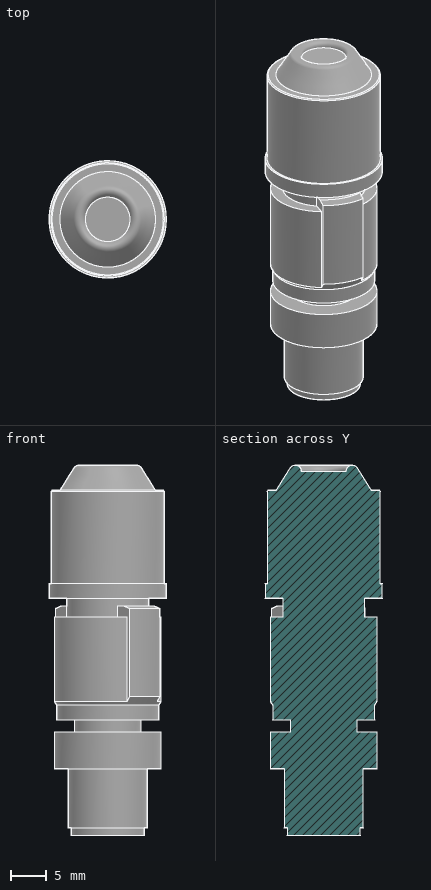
import cadquery as cq
import math

STEM_BOTTOM = 1.1
FLANGE_BOTTOM = 9.25
FLANGE_TOP = 14.4
RING_BOTTOM = 16.05
RING_TOP = 18.1
PANEL_TOP = 30.4
LOBE_OUTER_TOP = 31.55
LOBE_TOP = 31.9
COLLAR_BOTTOM = 32.95
COLLAR_TOP = 35.0
SLEEVE_TOP = 48.0
TOTAL_HEIGHT = 51.5

FOOT_RADIUS = 5.1
STEM_RADIUS = 5.5
FLANGE_RADIUS = 7.4
LOWER_NECK_RADIUS = 4.65
RING_RADIUS = 7.1
PANEL_RADIUS = 7.4
LOBE_RADIUS = 7.9
LOBE_BEVEL_INNER_RADIUS = 6.8
UPPER_NECK_RADIUS = 5.7
COLLAR_RADIUS = 8.16
SLEEVE_RADIUS = 7.9
NOSE_BASE_RADIUS = 6.65

SLEEVE_CHAMFER = 0.15
LOWER_TAPER_SLOPE = 1.6
PANEL_WALL_OFFSET = 3.0
RECESS_DIRECTIONS = (45, 225)

LIP_RADIUS = 0.9
LIP_CENTRE_RADIUS = 3.95
LIP_CENTRE_HEIGHT = TOTAL_HEIGHT - LIP_RADIUS


def nose_tangent_angle():
    """Angle on the lip circle where the straight nose flank meets it tangentially."""
    dr = NOSE_BASE_RADIUS - LIP_CENTRE_RADIUS
    dz = SLEEVE_TOP - LIP_CENTRE_HEIGHT
    return math.atan2(dz, dr) + math.acos(LIP_RADIUS / math.hypot(dr, dz))


def lip_point(angle):
    return (
        LIP_CENTRE_RADIUS + LIP_RADIUS * math.cos(angle),
        LIP_CENTRE_HEIGHT + LIP_RADIUS * math.sin(angle),
    )


def turned_body():
    """Revolve the complete stepped profile, with the lobe section still a full round."""
    lobe_bottom = RING_TOP + LOWER_TAPER_SLOPE * (LOBE_RADIUS - RING_RADIUS)
    profile = (
        cq.Workplane("XZ")
        .polyline([
            (0, 0),
            (FOOT_RADIUS, 0),
            (FOOT_RADIUS, STEM_BOTTOM),
            (STEM_RADIUS, STEM_BOTTOM),
            (STEM_RADIUS, FLANGE_BOTTOM),
            (FLANGE_RADIUS, FLANGE_BOTTOM),
            (FLANGE_RADIUS, FLANGE_TOP),
            (LOWER_NECK_RADIUS, FLANGE_TOP),
            (LOWER_NECK_RADIUS, RING_BOTTOM),
            (RING_RADIUS, RING_BOTTOM),
            (RING_RADIUS, RING_TOP),
            (LOBE_RADIUS, lobe_bottom),
            (LOBE_RADIUS, LOBE_OUTER_TOP),
            (LOBE_BEVEL_INNER_RADIUS, LOBE_TOP),
            (UPPER_NECK_RADIUS, LOBE_TOP),
            (UPPER_NECK_RADIUS, COLLAR_BOTTOM),
            (COLLAR_RADIUS, COLLAR_BOTTOM),
            (COLLAR_RADIUS, COLLAR_TOP),
            (SLEEVE_RADIUS, COLLAR_TOP),
            (SLEEVE_RADIUS, SLEEVE_TOP - SLEEVE_CHAMFER),
            (SLEEVE_RADIUS - SLEEVE_CHAMFER, SLEEVE_TOP),
            (NOSE_BASE_RADIUS, SLEEVE_TOP),
            lip_point(nose_tangent_angle()),
        ])
        .threePointArc(lip_point(math.pi / 2), lip_point(math.pi))
        .lineTo(0, LIP_CENTRE_HEIGHT)
        .close()
    )
    return profile.revolve(360, (0, 0, 0), (0, 1, 0))


def tube(inner_radius, outer_radius, bottom, top):
    return (
        cq.Workplane("XY", origin=(0, 0, bottom))
        .circle(outer_radius)
        .circle(inner_radius)
        .extrude(top - bottom)
    )


def panel_recess(direction):
    """Material removed beyond one flat wall to leave a lower, shorter curved panel."""
    rings = tube(PANEL_RADIUS, COLLAR_RADIUS, RING_TOP, COLLAR_BOTTOM).union(
        tube(UPPER_NECK_RADIUS, COLLAR_RADIUS, PANEL_TOP, COLLAR_BOTTOM)
    )
    outer_side = (
        cq.Workplane("XY", origin=(0, 0, RING_TOP))
        .box(COLLAR_RADIUS, 2 * COLLAR_RADIUS, COLLAR_BOTTOM - RING_TOP, centered=(False, True, False))
        .translate((PANEL_WALL_OFFSET, 0, 0))
        .rotate((0, 0, 0), (0, 0, 1), direction)
    )
    return rings.intersect(outer_side)


result = turned_body()
for recess_direction in RECESS_DIRECTIONS:
    result = result.cut(panel_recess(recess_direction))